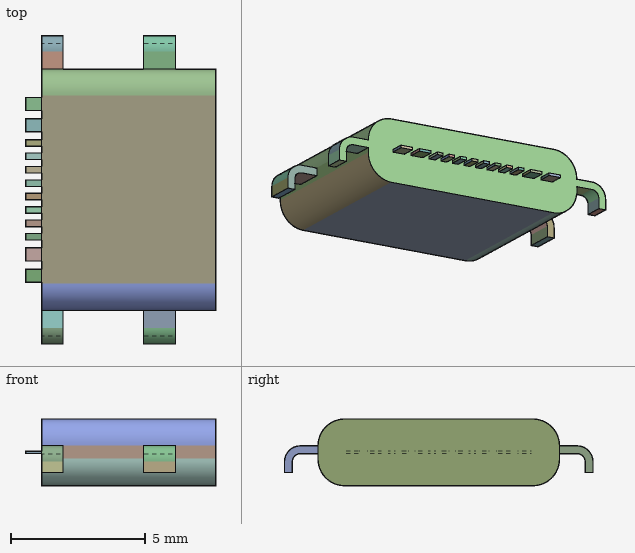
import cadquery as cq


body_length = 6.5
body_width = 9.0
body_height = 2.5
corner_radius = 1.0

overall_width = 11.5
leg_thickness = 0.3
leg_drop = 1.0
bend_outer_radius = 0.6
bend_inner_radius = bend_outer_radius - leg_thickness
leg_top_z = body_height / 2 - corner_radius
rear_leg_start = 0.0
rear_leg_length = 0.8
front_leg_start = 3.8
front_leg_length = 1.2

contact_reach = 0.6
contact_thickness = 0.1
narrow_contact_count = 8
narrow_contact_width = 0.25
narrow_row_span = 3.5
wide_contact_width = 0.5
inner_wide_contact_y = 2.4
outer_wide_contact_y = 3.2


def make_body():
    """Solid block with its four long edges rounded."""
    block = cq.Workplane("XY").box(body_length, body_width, body_height, centered=(False, True, True))
    return block.edges("|X").fillet(corner_radius)


def make_leg(start, length):
    """Leg on the +Y side: a flat strip leaving the body and bending down to its foot."""
    inner_y = body_width / 2
    outer_y = overall_width / 2
    foot_z = leg_top_z - leg_drop
    bend_y = outer_y - bend_outer_radius
    bend_z = leg_top_z - bend_outer_radius
    return (
        cq.Workplane("YZ", origin=(start, 0, 0))
        .moveTo(inner_y, leg_top_z)
        .lineTo(bend_y, leg_top_z)
        .radiusArc((outer_y, bend_z), bend_outer_radius)
        .lineTo(outer_y, foot_z)
        .lineTo(outer_y - leg_thickness, foot_z)
        .lineTo(outer_y - leg_thickness, bend_z)
        .radiusArc((bend_y, leg_top_z - leg_thickness), -bend_inner_radius)
        .lineTo(inner_y, leg_top_z - leg_thickness)
        .close()
        .extrude(length)
    )


def make_contact(y, width):
    """Thin flat contact standing out of the rear face."""
    blade = cq.Workplane("XY").box(contact_reach, width, contact_thickness)
    return blade.translate((-contact_reach / 2, y, 0))


result = make_body()

for start, length in [(rear_leg_start, rear_leg_length), (front_leg_start, front_leg_length)]:
    leg = make_leg(start, length)
    result = result.union(leg).union(leg.mirror("XZ"))

narrow_pitch = narrow_row_span / (narrow_contact_count - 1)
for index in range(narrow_contact_count):
    narrow_y = index * narrow_pitch - narrow_row_span / 2
    result = result.union(make_contact(narrow_y, narrow_contact_width))

for wide_y in (inner_wide_contact_y, outer_wide_contact_y):
    for side in (-1, 1):
        result = result.union(make_contact(side * wide_y, wide_contact_width))